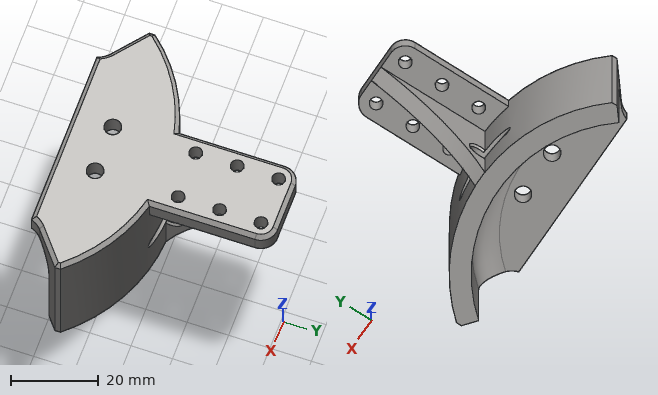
import cadquery as cq
import math

height = 31.4
plate_thickness = 5.0
plate_underside = height - plate_thickness
edge_chamfer = 1.0

outer_radius = 42.15
inner_radius = 37.15
tip_x = 32.1
end_angle = math.radians(39)
cove_radius = 6.4

front_y = 16.8
arm_end_y = front_y + 53.65
arm_width = 20.0
arm_corner_radius = 4.0
front_half_width = 22.25
front_corner_radius = 5.8

hole_spacing_x = 12.0
arm_hole_diameter = 3.1
arm_hole_pitch = 10.0
arm_hole_rows = 3
plate_hole_diameter = 4.0
plate_hole_gap = 20.0
first_hole_y = arm_end_y - 4.0

gusset_thickness = 4.0
gusset_radius = 50.05
cross_hole_diameter = 5.0
cross_hole_y = 43.3
cross_hole_z = 11.6
cross_hole_chamfer = 0.5


def end_face_point(radius):
    """Point of the right radial end face at a given radius."""
    return radius * math.cos(end_angle), radius * math.sin(end_angle)


tip_back_y = math.sqrt(outer_radius**2 - tip_x**2)
tip_front_y = tip_x * math.tan(end_angle)


def make_body():
    """Fan block with its arm, chamfered around the top and hollowed from below to leave plate and wall."""
    side_x, side_y = end_face_point(inner_radius - cove_radius)
    fan = (
        cq.Workplane("XY")
        .moveTo(-front_half_width, front_y)
        .lineTo(front_half_width, front_y)
        .radiusArc((side_x, side_y), front_corner_radius)
        .lineTo(tip_x, tip_front_y)
        .lineTo(tip_x, tip_back_y)
        .threePointArc((0, outer_radius), (-tip_x, tip_back_y))
        .lineTo(-tip_x, tip_front_y)
        .lineTo(-side_x, side_y)
        .radiusArc((-front_half_width, front_y), front_corner_radius)
        .close()
        .extrude(height)
    )
    arm_length = arm_end_y - inner_radius
    arm = (
        cq.Workplane("XY", origin=(0, inner_radius + arm_length / 2, plate_underside))
        .rect(arm_width, arm_length)
        .extrude(plate_thickness)
        .edges("|Z and >Y")
        .fillet(arm_corner_radius)
    )
    return fan.union(arm).faces(">Z").chamfer(edge_chamfer).cut(make_hollow())


def make_hollow():
    """Round cavity below the plate, with a quarter-round shoulder that forms the cove."""
    cove_start = plate_underside - cove_radius
    cove_mid = cove_radius * math.sqrt(0.5)
    cove_edge = inner_radius - cove_radius
    return (
        cq.Workplane("XZ")
        .lineTo(inner_radius, 0)
        .lineTo(inner_radius, cove_start)
        .threePointArc((cove_edge + cove_mid, cove_start + cove_mid), (cove_edge, plate_underside))
        .lineTo(0, plate_underside)
        .close()
        .revolve(360, (0, 0), (0, 1))
    )


def make_gusset():
    """Web under the arm with a concave free edge and a bevelled cross hole."""
    root_y = (inner_radius + outer_radius) / 2
    web = (
        cq.Workplane("YZ")
        .moveTo(root_y, 0)
        .lineTo(outer_radius, 0)
        .radiusArc((arm_end_y, plate_underside), gusset_radius)
        .lineTo(root_y, plate_underside)
        .close()
        .extrude(gusset_thickness / 2, both=True)
    )
    for side in (-1, 1):
        bevel = cq.Solid.makeCone(
            cross_hole_diameter / 2 + cross_hole_chamfer,
            cross_hole_diameter / 2,
            cross_hole_chamfer,
            cq.Vector(side * gusset_thickness / 2, cross_hole_y, cross_hole_z),
            cq.Vector(-side, 0, 0),
        )
        web = web.cut(cq.Workplane(bevel))
    return web


def make_vertical_holes():
    """Three pairs of arm holes and one larger pair in the fan."""
    rows = [(first_hole_y - row * arm_hole_pitch, arm_hole_diameter) for row in range(arm_hole_rows)]
    rows.append((rows[-1][0] - plate_hole_gap, plate_hole_diameter))
    holes = cq.Workplane("XY")
    for y, diameter in rows:
        centers = [(-hole_spacing_x / 2, y), (hole_spacing_x / 2, y)]
        holes = holes.pushPoints(centers).circle(diameter / 2).extrude(height)
    return holes


def make_cross_hole():
    """Straight bore along X through the gusset and the crown of the wall."""
    return (
        cq.Workplane("YZ")
        .center(cross_hole_y, cross_hole_z)
        .circle(cross_hole_diameter / 2)
        .extrude(tip_x, both=True)
    )


body = make_body().union(make_gusset())
result = body.cut(make_vertical_holes()).cut(make_cross_hole())